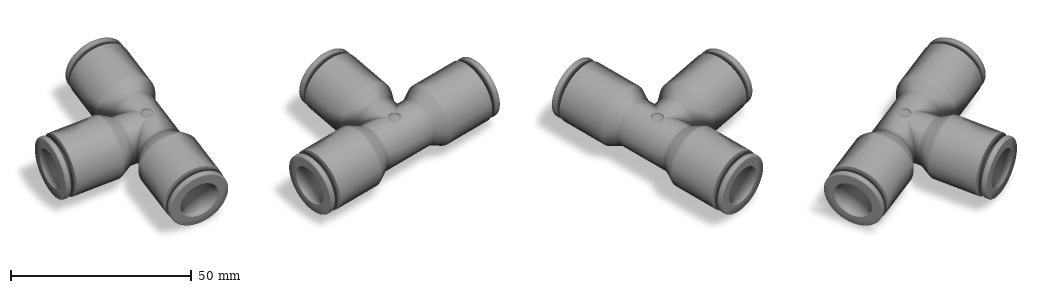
import cadquery as cq

branch_length = 30.55

bore_radius = 6.0
stem_radius = 6.6
neck_radius = 7.3
collar_radius = 9.3
body_radius = 9.5

neck_end = 8.45
cone_end = 12.5
body_end = branch_length - 3.2
collar_start = branch_length - 1.7

cone_blend_radius = 1.35
collar_edge_radius = 0.5

mark_radius = 1.85
mark_floor_height = 6.85


def turned(points):
    """Revolve an (axial, radial) half outline about the X axis."""
    return (
        cq.Workplane("XY").polyline(points).close()
        .revolve(360, (0, 0, 0), (1, 0, 0))
    )


def circle_edges_at(x, radius):
    """Select the circular edges of a given radius at a place along X."""
    margin = 0.05
    reach = radius + margin
    return cq.selectors.BoxSelector(
        (x - margin, -reach, -reach), (x + margin, reach, reach), boundingbox=True
    )


def make_branch():
    """Solid branch along +X: neck, cone, body, stem and release collar."""
    housing = turned([
        (0, 0),
        (0, neck_radius),
        (neck_end, neck_radius),
        (cone_end, body_radius),
        (body_end, body_radius),
        (body_end, 0),
    ])
    housing = housing.edges(circle_edges_at(neck_end, neck_radius)).fillet(cone_blend_radius)
    housing = housing.edges(circle_edges_at(cone_end, body_radius)).fillet(cone_blend_radius)

    stem = turned([
        (body_end, 0),
        (body_end, stem_radius),
        (collar_start, stem_radius),
        (collar_start, 0),
    ])
    collar = turned([
        (collar_start, 0),
        (collar_start, collar_radius),
        (branch_length, collar_radius),
        (branch_length, 0),
    ])
    collar = collar.edges("%CIRCLE").fillet(collar_edge_radius)
    return housing.union(stem).union(collar)


def make_bore():
    """Bore along +X from the tee centre to the branch mouth."""
    return cq.Workplane("YZ").circle(bore_radius).extrude(branch_length)


def three_ways(shape):
    """Place a +X shape along +X, -X and -Y."""
    placed = shape
    for angle in (180, -90):
        placed = placed.union(shape.rotate((0, 0, 0), (0, 0, 1), angle))
    return placed


mark_recess = (
    cq.Workplane("XY").workplane(offset=mark_floor_height)
    .circle(mark_radius).extrude(body_radius - mark_floor_height)
)

result = three_ways(make_branch()).cut(three_ways(make_bore())).cut(mark_recess)